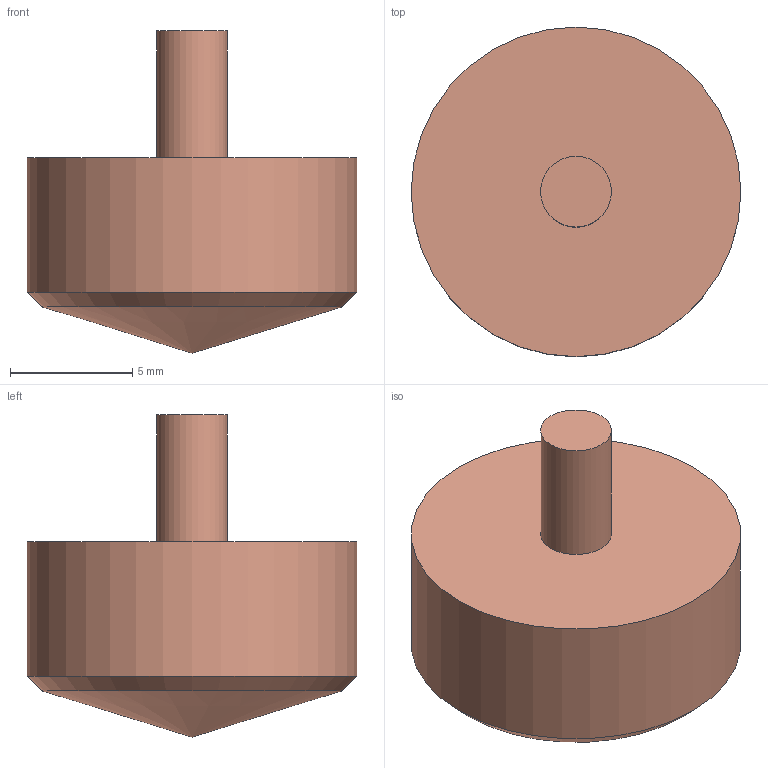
import cadquery as cq

body_diameter = 13.5
body_height = 5.5

chamfer = 0.6
cone_height = 1.9

stem_diameter = 2.9
stem_height = 5.2

chamfer_bottom = cone_height
body_bottom = chamfer_bottom + chamfer
body_top = body_bottom + body_height
stem_top = body_top + stem_height

body_radius = body_diameter / 2
stem_radius = stem_diameter / 2
cone_radius = body_radius - chamfer

profile = (
    cq.Workplane("XZ")
    .moveTo(0, 0)
    .lineTo(cone_radius, chamfer_bottom)
    .lineTo(body_radius, body_bottom)
    .lineTo(body_radius, body_top)
    .lineTo(stem_radius, body_top)
    .lineTo(stem_radius, stem_top)
    .lineTo(0, stem_top)
    .close()
)

result = profile.revolve(360, (0, 0, 0), (0, 1, 0))